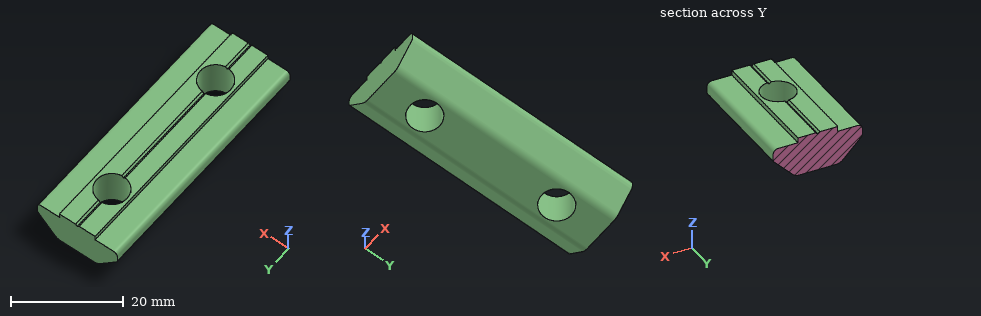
import cadquery as cq

length = 50
width = 18
height = 8

rib_width = 8
rib_height = 1
side_height = 2.5
shoulder_radius = 1
flank_radius = 1
base_radius = 2
groove_width = 0.8
groove_depth = 0.35

hole_diameter = 6.75
hole_spacing = 30

shoulder_z = height - rib_height
flank_z = shoulder_z - side_height
base_half_width = width / 2 - flank_z


def make_body():
    """Extrude the T-nut section along Y, centred on the origin."""
    right_side = [
        (base_half_width, 0),
        (width / 2, flank_z),
        (width / 2, shoulder_z),
        (rib_width / 2, shoulder_z),
        (rib_width / 2, height),
        (groove_width / 2, height),
    ]
    left_side = [(-x, z) for x, z in reversed(right_side)]
    outline = right_side + [(0, height - groove_depth)] + left_side
    return cq.Workplane("XZ").polyline(outline).close().extrude(length / 2, both=True)


def round_edges(body, x, z, radius):
    """Round the mirrored pair of lengthwise edges at +/-x and height z."""
    for side in (-1, 1):
        nearest = cq.selectors.NearestToPointSelector((side * x, 0, z))
        body = body.edges("|Y").edges(nearest).fillet(radius)
    return body


def make_holes():
    """Pair of vertical through holes on the centreline."""
    centres = [(0, -hole_spacing / 2), (0, hole_spacing / 2)]
    return cq.Workplane("XY").pushPoints(centres).circle(hole_diameter / 2).extrude(height)


body = make_body()
body = round_edges(body, width / 2, shoulder_z, shoulder_radius)
body = round_edges(body, width / 2, flank_z, flank_radius)
body = round_edges(body, base_half_width, 0, base_radius)
result = body.cut(make_holes())